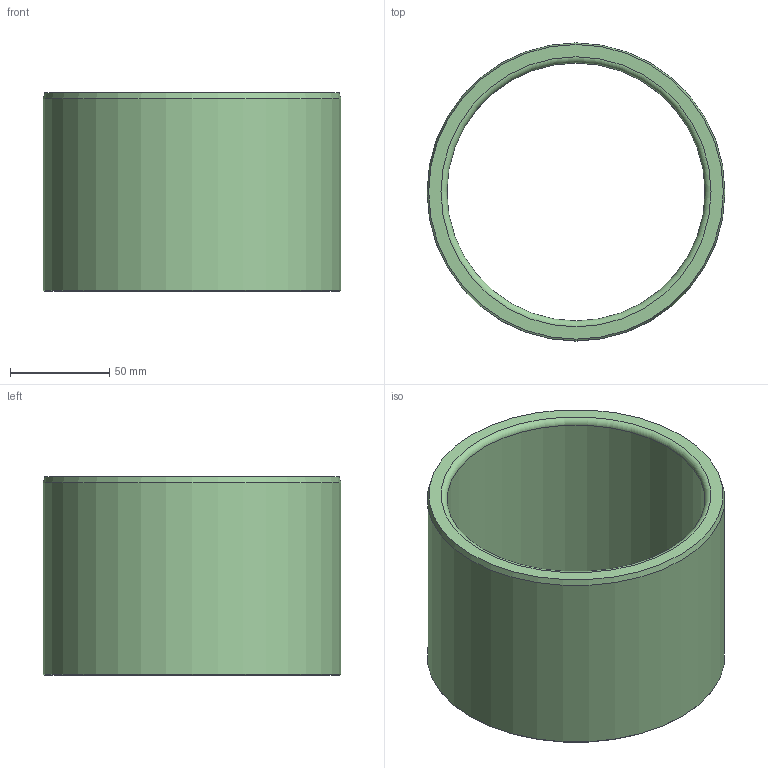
import cadquery as cq
import math

outer_diameter = 150.0
bore_diameter = 130.0
length = 100.0

lead_in_height = 3.0
lead_in_angle = 15.0

bore_round_radius = 3.0
bottom_chamfer = 0.5

outer_radius = outer_diameter / 2
bore_radius = bore_diameter / 2
lead_in_depth = lead_in_height * math.tan(math.radians(lead_in_angle))


def round_midpoint():
    """Point halfway along the quarter round at the bore mouth."""
    center_r = bore_radius + bore_round_radius
    center_z = length - bore_round_radius
    offset = bore_round_radius * math.sqrt(0.5)
    return (center_r - offset, center_z + offset)


def wall_section():
    """Closed half-section of the wall, drawn as radius against height."""
    return (
        cq.Workplane("XZ")
        .moveTo(bore_radius, 0)
        .lineTo(outer_radius - bottom_chamfer, 0)
        .lineTo(outer_radius, bottom_chamfer)
        .lineTo(outer_radius, length - lead_in_height)
        .lineTo(outer_radius - lead_in_depth, length)
        .lineTo(bore_radius + bore_round_radius, length)
        .threePointArc(round_midpoint(), (bore_radius, length - bore_round_radius))
        .close()
    )


result = wall_section().revolve(360, (0, 0, 0), (0, 1, 0))